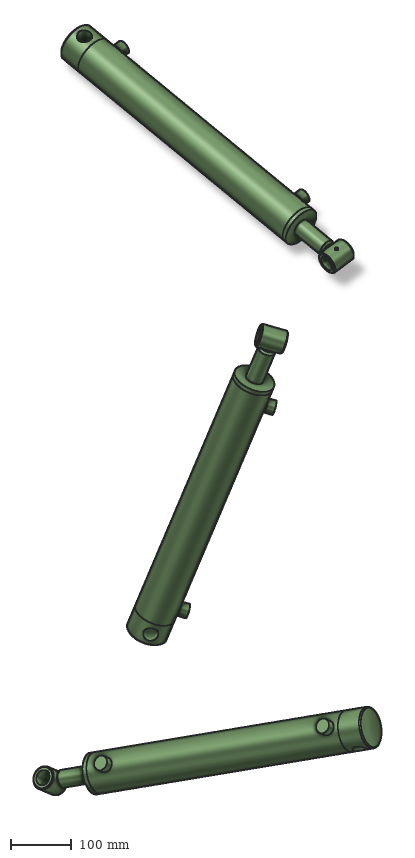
import cadquery as cq

BODY_DIA = 70.0
CAP_LENGTH = 43.0
BARREL_END = 530.0
GLAND_END = 538.0
CAP_CHAMFER = 2.25

PIN_DIA = 25.0
CAP_PIN_X = 22.0

PORT_DIA = 25.0
PORT_RISE = 15.0
PORT_XS = (63.5, 494.0)

TOTAL_LENGTH = 642.0
ROD_DIA = 30.0
ROD_TIP_CHAMFER = 4.0
EYE_DIA = 40.0
EYE_WIDTH = 45.5
EYE_BORE_DIA = 26.0
EYE_CHAMFER = 2.0
GREASE_HOLE_DIA = 6.0

BODY_RADIUS = BODY_DIA / 2
EYE_X = TOTAL_LENGTH - EYE_DIA / 2


def x_cylinder(start, end, diameter):
    """Solid cylinder on the X axis between two X positions."""
    return cq.Workplane("YZ", origin=(start, 0, 0)).circle(diameter / 2).extrude(end - start)


def y_cylinder(x, start, end, diameter):
    """Solid cylinder parallel to Y between two Y positions."""
    return cq.Workplane("XZ", origin=(x, start, 0)).circle(diameter / 2).extrude(start - end)


def make_cap():
    """Base cap with a chamfered outer end and a vertical pin hole."""
    cap = x_cylinder(0, CAP_LENGTH, BODY_DIA).faces("<X").chamfer(CAP_CHAMFER)
    pin_hole = (
        cq.Workplane("XY", origin=(CAP_PIN_X, 0, 0))
        .circle(PIN_DIA / 2)
        .extrude(BODY_RADIUS, both=True)
    )
    return cap.cut(pin_hole)


def make_port(x):
    """Port boss standing with its flat foot against the side of the barrel."""
    return y_cylinder(x, BODY_RADIUS, BODY_RADIUS + PORT_RISE, PORT_DIA)


def make_eye():
    """Rod eye: a cross tube along Y with a grease hole in its top."""
    eye = y_cylinder(EYE_X, -EYE_WIDTH / 2, EYE_WIDTH / 2, EYE_DIA).faces("<Y or >Y").chamfer(EYE_CHAMFER)
    bore = y_cylinder(EYE_X, -EYE_WIDTH / 2, EYE_WIDTH / 2, EYE_BORE_DIA)
    grease_hole = cq.Workplane("XY", origin=(EYE_X, 0, 0)).circle(GREASE_HOLE_DIA / 2).extrude(EYE_DIA / 2)
    return eye.cut(bore).cut(grease_hole)


def make_rod():
    """Rod with a chamfered tip whose flat end meets the side of the eye."""
    return x_cylinder(GLAND_END, TOTAL_LENGTH - EYE_DIA, ROD_DIA).faces(">X").chamfer(ROD_TIP_CHAMFER)


cap = make_cap()
barrel = x_cylinder(CAP_LENGTH, BARREL_END, BODY_DIA)
gland = x_cylinder(BARREL_END, GLAND_END, BODY_DIA)
ports = [make_port(x) for x in PORT_XS]
rod = make_rod()
eye = make_eye()

result = cq.Compound.makeCompound(
    [
        cap.val(),
        barrel.val(),
        gland.val(),
        *[port.val() for port in ports],
        rod.val(),
        eye.val(),
    ]
)